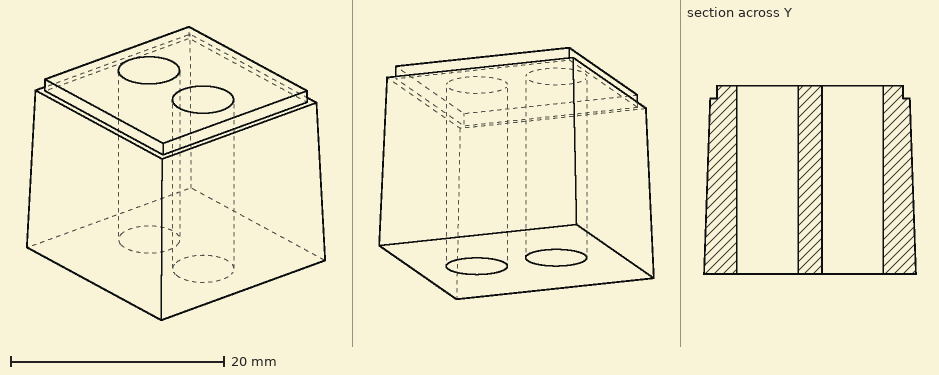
import cadquery as cq

base_side = 19.91
body_height = 16.5
draft_angle = 2.0

pad_side = 17.5
pad_height = 1.2

hole_diameter = 5.74
hole_spacing = 8.0

total_height = body_height + pad_height


def tapered_body():
    return cq.Workplane("XY").rect(base_side, base_side).extrude(body_height, taper=draft_angle)


def top_pad():
    return cq.Workplane("XY").workplane(offset=body_height).rect(pad_side, pad_side).extrude(pad_height)


def through_holes():
    centers = [(-hole_spacing / 2, 0), (hole_spacing / 2, 0)]
    return cq.Workplane("XY").pushPoints(centers).circle(hole_diameter / 2).extrude(total_height)


result = tapered_body().union(top_pad()).cut(through_holes())